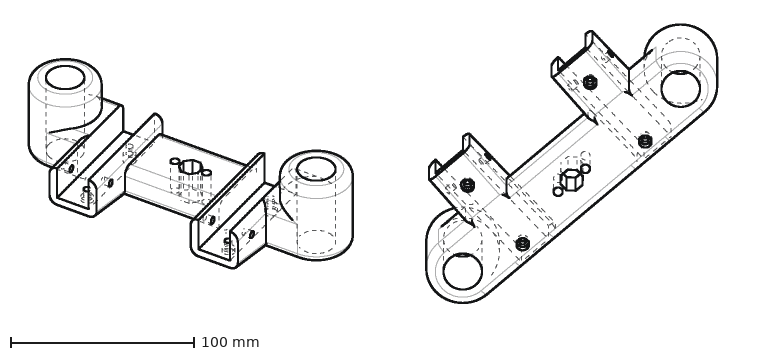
import cadquery as cq
import math

length = 200.0
body_width = 40.0
tower_height = 50.0
edge_radius = 5.0

tower_bore = 21.0
tower_x = (length - body_width) / 2
bar_height = 20.0
arm_height = 30.0

channel_x = 45.0
channel_width = 30.0
wall = 5.0
floor_z = 10.0
arm_end_x = channel_x + channel_width / 2 - wall
channel_back_y = body_width / 2
slope_start_y = -body_width / 2
channel_front_y = -50.0
front_bottom_z = 5.0

screw_diameter = 4.0
head_diameter = 7.0
head_depth = 5.0
front_screw_y = -35.0
back_screw_y = 10.0
side_hole_z = 20.0

octagon_across_flats = 12.0
mount_hole_diameter = 5.0
mount_hole_offset = 10.0


def tower(x):
    """Upright cylinder with rounded rims."""
    cylinder = cq.Workplane("XY").center(x, 0).circle(body_width / 2).extrude(tower_height)
    return cylinder.faces("<Z or >Z").edges().fillet(edge_radius)


def rounded_bar(x_start, x_end, height):
    """Bar along X with its four long edges rounded."""
    bar = cq.Workplane("XY").box(x_end - x_start, body_width, height, centered=(False, True, False))
    return bar.edges("|X").fillet(edge_radius).translate((x_start, 0, 0))


def channel_block(x):
    """Solid block for one channel, with the underside rising towards the front."""
    block = (
        cq.Workplane("YZ")
        .moveTo(channel_front_y, front_bottom_z)
        .lineTo(slope_start_y, 0)
        .lineTo(channel_back_y - edge_radius, 0)
        .radiusArc((channel_back_y, edge_radius), -edge_radius)
        .lineTo(channel_back_y, arm_height)
        .lineTo(channel_front_y, arm_height)
        .close()
        .extrude(channel_width / 2, both=True)
    )
    block = block.faces(">Z").edges("|Y").fillet(edge_radius)
    slope_middle = (
        0,
        (channel_front_y + slope_start_y) / 2,
        front_bottom_z / 2,
    )
    slope_face = block.faces(cq.selectors.NearestToPointSelector(slope_middle))
    block = slope_face.edges("not |X").fillet(edge_radius)
    return block.translate((x, 0, 0))


def channel_cavity(x):
    """Space between the channel walls, open at the top and both ends."""
    return (
        cq.Workplane("XY", origin=(x, (channel_front_y + channel_back_y) / 2, floor_z))
        .box(
            channel_width - 2 * wall,
            channel_back_y - channel_front_y,
            tower_height,
            centered=(True, True, False),
        )
    )


def back_corner(side):
    """Outer rear strip of a channel block, where the rounded arm alone forms the corner."""
    return (
        cq.Workplane("XY", origin=(side * (arm_end_x + wall / 2), channel_back_y - edge_radius / 2, 0))
        .box(wall, edge_radius, arm_height, centered=(True, True, False))
    )


def round_hole(x, y, diameter, depth):
    """Vertical hole cutter starting at the underside."""
    return cq.Workplane("XY").center(x, y).circle(diameter / 2).extrude(depth)


result = rounded_bar(-tower_x, tower_x, bar_height)
for side in (-1, 1):
    arm_ends = sorted((side * tower_x, side * arm_end_x))
    result = result.union(rounded_bar(arm_ends[0], arm_ends[1], arm_height))
    result = result.union(tower(side * tower_x))
    result = result.union(channel_block(side * channel_x).cut(back_corner(side)))

for side in (-1, 1):
    result = result.cut(round_hole(side * tower_x, 0, tower_bore, tower_height))
    result = result.cut(channel_cavity(side * channel_x))
    for screw_y in (front_screw_y, back_screw_y):
        result = result.cut(round_hole(side * channel_x, screw_y, screw_diameter, floor_z))
        result = result.cut(round_hole(side * channel_x, screw_y, head_diameter, head_depth))

cross_hole = (
    cq.Workplane("YZ")
    .center(front_screw_y, side_hole_z)
    .circle(screw_diameter / 2)
    .extrude(length / 2, both=True)
)
result = result.cut(cross_hole)

octagon_sides = 8
octagon_diameter = octagon_across_flats / math.cos(math.pi / octagon_sides)
octagon = (
    cq.Workplane("XY")
    .polygon(octagon_sides, octagon_diameter)
    .extrude(bar_height)
    .rotate((0, 0, 0), (0, 0, 1), 180 / octagon_sides)
)
result = result.cut(octagon)
for side in (-1, 1):
    result = result.cut(round_hole(side * mount_hole_offset, 0, mount_hole_diameter, bar_height))